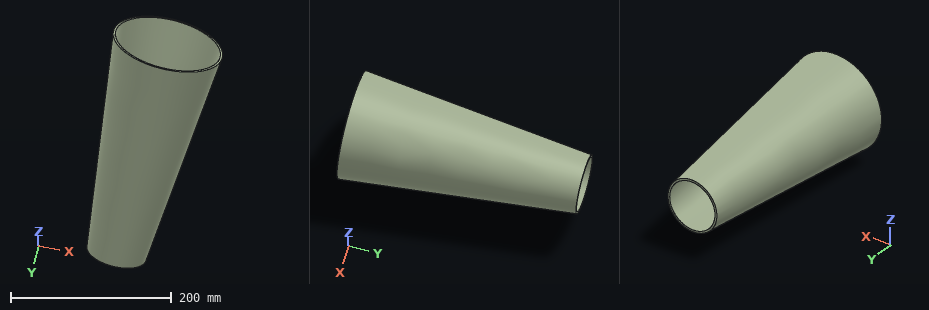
import cadquery as cq

length = 300.0
large_diameter = 139.8
small_diameter = 76.2
wall = 3.0

large_radius = large_diameter / 2
small_radius = small_diameter / 2

wall_section = [
    (large_radius - wall, 0),
    (large_radius, 0),
    (small_radius, length),
    (small_radius - wall, length),
]

result = (
    cq.Workplane("XY")
    .polyline(wall_section)
    .close()
    .revolve(360, (0, 0, 0), (0, 1, 0))
)